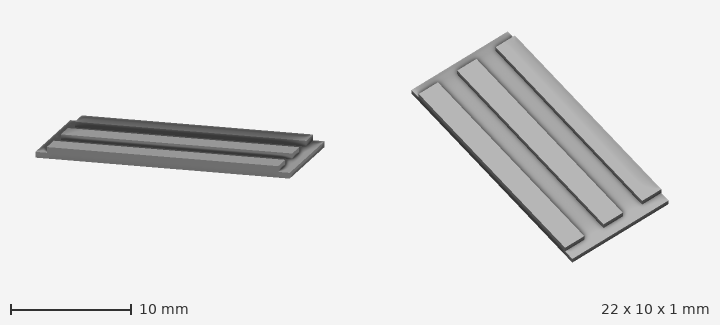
import cadquery as cq

plate_length = 22.0
plate_width = 10.0
total_height = 1.0
plate_thickness = total_height / 2

strip_count = 3
gap_count = strip_count - 1
strip_width = plate_width / (strip_count + gap_count)
strip_pitch = 2 * strip_width
strip_height = total_height - plate_thickness
end_margin = 1.0
strip_length = plate_length - 2 * end_margin


def make_plate():
    """Flat rectangular plate with its underside on Z = 0."""
    return cq.Workplane("XY").box(
        plate_length, plate_width, plate_thickness, centered=(True, True, False)
    )


def add_strips(plate):
    """Add the parallel strips; the outer two are flush with the plate's long sides."""
    return (
        plate.faces(">Z")
        .workplane()
        .rarray(0.22, strip_pitch, 1, strip_count)
        .rect(strip_length, strip_width)
        .extrude(strip_height)
    )


result = add_strips(make_plate())